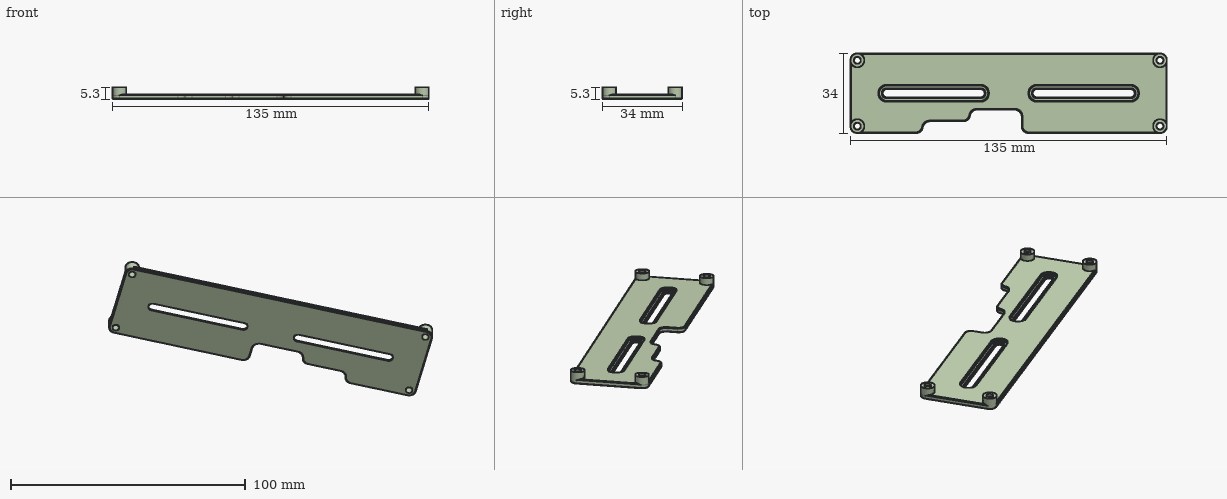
import cadquery as cq
import math

LENGTH = 135.0
WIDTH = 34.0
RECESS_DEPTH = 1.01
RECESS_FLOOR = 1.2
PLATE_THICKNESS = RECESS_FLOOR + RECESS_DEPTH
EDGE_CHAMFER = 0.4

TOTAL_HEIGHT = 5.3
STANDOFF_DIAMETER = 6.0
STANDOFF_RADIUS = STANDOFF_DIAMETER / 2

HOLE_DIAMETER = 2.8
MOUTH_DIAMETER = 3.0
MOUTH_DEPTH = 1.01

STEP_RISE = 5.0
FIRST_STEP_X = -36.6
SECOND_STEP_X = -16.5
NOTCH_WALL_X = 5.5
NOTCH_RADIUS = 3.0

SLOT_CENTER_X = 32.0
SLOT_END_SPACING = 40.0
RECESS_WIDTH = 6.5
THROUGH_WIDTH = 3.5

HALF_LENGTH = LENGTH / 2
HALF_WIDTH = WIDTH / 2
STANDOFF_CENTERS = [
    (side_x * (HALF_LENGTH - STANDOFF_RADIUS), side_y * (HALF_WIDTH - STANDOFF_RADIUS))
    for side_x in (-1, 1)
    for side_y in (-1, 1)
]


def add_step(outline, x_mid, y_low):
    """Climb one step with two equal tangent arcs that meet at x_mid."""
    turn = math.acos(1 - STEP_RISE / 2 / NOTCH_RADIUS)
    run = NOTCH_RADIUS * math.sin(turn)
    return (
        outline.lineTo(x_mid - run, y_low)
        .tangentArcPoint((x_mid, y_low + STEP_RISE / 2), relative=False)
        .tangentArcPoint((x_mid + run, y_low + STEP_RISE), relative=False)
    )


def make_plate():
    """Rounded plate with the stepped notch and chamfered outer edges."""
    front_y = -HALF_WIDTH
    notch_y = front_y + 2 * STEP_RISE
    bend = NOTCH_RADIUS
    corner = STANDOFF_RADIUS

    outline = cq.Workplane("XY").moveTo(-HALF_LENGTH + corner, front_y)
    outline = add_step(outline, FIRST_STEP_X, front_y)
    outline = add_step(outline, SECOND_STEP_X, front_y + STEP_RISE)
    outline = (
        outline.lineTo(NOTCH_WALL_X - bend, notch_y)
        .tangentArcPoint((bend, -bend))
        .lineTo(NOTCH_WALL_X, front_y + bend)
        .tangentArcPoint((bend, -bend))
        .lineTo(HALF_LENGTH - corner, front_y)
        .tangentArcPoint((corner, corner))
        .lineTo(HALF_LENGTH, HALF_WIDTH - corner)
        .tangentArcPoint((-corner, corner))
        .lineTo(-HALF_LENGTH + corner, HALF_WIDTH)
        .tangentArcPoint((-corner, -corner))
        .lineTo(-HALF_LENGTH, front_y + corner)
        .tangentArcPoint((corner, -corner))
        .close()
    )
    return outline.extrude(PLATE_THICKNESS).faces("<Z or >Z").chamfer(EDGE_CHAMFER)


def make_standoffs():
    """Four posts whose lower edge continues the plate's bottom chamfer."""
    return (
        cq.Workplane("XY")
        .pushPoints(STANDOFF_CENTERS)
        .circle(STANDOFF_RADIUS)
        .extrude(TOTAL_HEIGHT)
        .faces("<Z")
        .chamfer(EDGE_CHAMFER)
    )


def make_screw_holes():
    """Cutters for the through holes and their wider mouths."""
    holes = (
        cq.Workplane("XY")
        .pushPoints(STANDOFF_CENTERS)
        .circle(HOLE_DIAMETER / 2)
        .extrude(TOTAL_HEIGHT)
    )
    mouths = (
        cq.Workplane("XY", origin=(0, 0, TOTAL_HEIGHT))
        .pushPoints(STANDOFF_CENTERS)
        .circle(MOUTH_DIAMETER / 2)
        .extrude(-MOUTH_DEPTH)
    )
    return holes.union(mouths)


def make_slot_cutter(center_x, width, bottom_z, top_z):
    """Slot-shaped cutter that flares out by the edge chamfer at top_z."""
    slot = (
        cq.Workplane("XY", origin=(center_x, 0, bottom_z))
        .slot2D(SLOT_END_SPACING + width, width)
        .extrude(top_z - bottom_z)
    )
    flare_width = width + 2 * EDGE_CHAMFER
    flare = (
        cq.Workplane("XY", origin=(center_x, 0, top_z))
        .slot2D(SLOT_END_SPACING + flare_width, flare_width)
        .extrude(-EDGE_CHAMFER, taper=45)
    )
    return slot.union(flare)


result = make_plate().union(make_standoffs()).cut(make_screw_holes())
for slot_x in (-SLOT_CENTER_X, SLOT_CENTER_X):
    recess = make_slot_cutter(slot_x, RECESS_WIDTH, RECESS_FLOOR, PLATE_THICKNESS)
    through = make_slot_cutter(slot_x, THROUGH_WIDTH, 0, RECESS_FLOOR)
    result = result.cut(recess).cut(through)